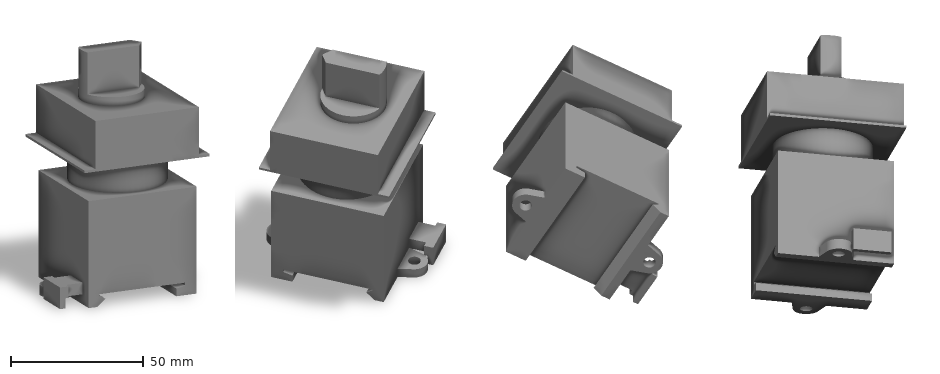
import cadquery as cq
import math

neck_base = 42.2
cover_base = 54.8
cover_top = 74.8
disc_top = 78.3
knob_top = 94.8

block_side = 45.0
block_face = block_side / 2
channel_depth = 4.9
fixed_lip_y = 14.0
fixed_lip_height = 3.0
fixed_undercut_y = 17.7
fixed_undercut_height = 3.8
latch_mouth_y = -18.9
latch_tip_y = -15.5
latch_tip_height = 2.8
latch_root_y = -18.1
latch_root_height = 4.55

lug_thickness = 4.0
lug_radius = 5.1
lug_hole_diameter = 4.7
lug_center_y = 26.9
lug_flare = math.radians(17)

neck_diameter = 38.0

cover_width = 53.0
cover_depth = 43.1
flange_depth = 52.1
flange_thickness = 0.95

knob_y = -2.6
knob_diameter = 25.1
grip_width = 8.2
pointer_length = 2.8

latch_x = 11.8
latch_top = 8.5
slide_width = 10.6
plate_width = 14.8
plate_thickness = 3.6
plate_front_y = -32.9
plate_back_y = plate_front_y + plate_thickness
plate_rebate_depth = 1.4


def box(width, y_min, y_max, z_min, z_max, x=0):
    """Box centred on x, spanning the given Y and Z limits."""
    return (
        cq.Workplane("XY", origin=(x, (y_min + y_max) / 2, z_min))
        .rect(width, y_max - y_min)
        .extrude(z_max - z_min)
    )


def make_lug(side):
    """Flared lug with a round end; side is +1 for the +Y face, -1 for the -Y face."""
    tangent_x = lug_radius * math.cos(lug_flare)
    tangent_y = lug_center_y + lug_radius * math.sin(lug_flare)
    root_x = tangent_x + (tangent_y - block_face) * math.tan(lug_flare)
    return (
        cq.Workplane("XY")
        .moveTo(-root_x, side * block_face)
        .lineTo(-tangent_x, side * tangent_y)
        .threePointArc((0, side * (lug_center_y + lug_radius)), (tangent_x, side * tangent_y))
        .lineTo(root_x, side * block_face)
        .close()
        .moveTo(0, side * lug_center_y)
        .circle(lug_hole_diameter / 2)
        .extrude(lug_thickness)
    )


def make_block():
    """Contact block with the rail channel in its underside and a lug at each end."""
    profile = [
        (-block_face, 0),
        (latch_mouth_y, 0),
        (latch_tip_y, latch_tip_height),
        (latch_root_y, latch_root_height),
        (latch_root_y, channel_depth),
        (fixed_undercut_y, channel_depth),
        (fixed_undercut_y, fixed_undercut_height),
        (fixed_lip_y, fixed_lip_height),
        (fixed_lip_y, 0),
        (block_face, 0),
        (block_face, neck_base),
        (-block_face, neck_base),
    ]
    block = cq.Workplane("YZ").polyline(profile).close().extrude(block_face, both=True)
    for side in (-1, 1):
        block = block.union(make_lug(side))
    return block


def make_neck():
    """Round neck between the block and the cover."""
    return (
        cq.Workplane("XY", origin=(0, 0, neck_base))
        .circle(neck_diameter / 2)
        .extrude(cover_base - neck_base)
    )


def make_cover():
    """Rectangular cover with its edge flange."""
    cover = box(cover_width, -cover_depth / 2, cover_depth / 2, cover_base, cover_top)
    flange_top = cover_base + flange_thickness
    return cover.union(box(cover_width, -flange_depth / 2, flange_depth / 2, cover_base, flange_top))


def make_knob():
    """Round disc carrying a grip whose +Y end is a pointer and whose -Y end follows the disc."""
    radius = knob_diameter / 2
    half_width = grip_width / 2
    shoulder_y = radius - pointer_length
    body = cq.Workplane("XY", origin=(0, knob_y, cover_top)).circle(radius).extrude(knob_top - cover_top)
    grip_outline = [
        (0, radius),
        (half_width, shoulder_y),
        (half_width, -knob_diameter),
        (-half_width, -knob_diameter),
        (-half_width, shoulder_y),
    ]
    around_grip = (
        cq.Workplane("XY", origin=(0, knob_y, disc_top))
        .circle(2 * knob_diameter)
        .polyline(grip_outline)
        .close()
        .extrude(knob_top - disc_top)
    )
    return body.cut(around_grip)


def make_latch_slide():
    """Bar from the block face to the pull plate, level with the lug top underneath."""
    return box(slide_width, plate_back_y, -block_face, lug_thickness, latch_top, latch_x)


def make_pull_plate():
    """Upright plate, rebated on the back of its lower part to clear the lug."""
    plate = box(plate_width, plate_front_y, plate_back_y, 0, latch_top, latch_x)
    rebate_y = plate_back_y - plate_rebate_depth
    return plate.cut(box(plate_width, rebate_y, plate_back_y, 0, lug_thickness, latch_x))


block = make_block()
neck = make_neck()
cover = make_cover()
knob = make_knob()
latch_slide = make_latch_slide()
pull_plate = make_pull_plate()

result = cq.Compound.makeCompound(
    [
        block.val(),
        neck.val(),
        cover.val(),
        knob.val(),
        latch_slide.val(),
        pull_plate.val(),
    ]
)